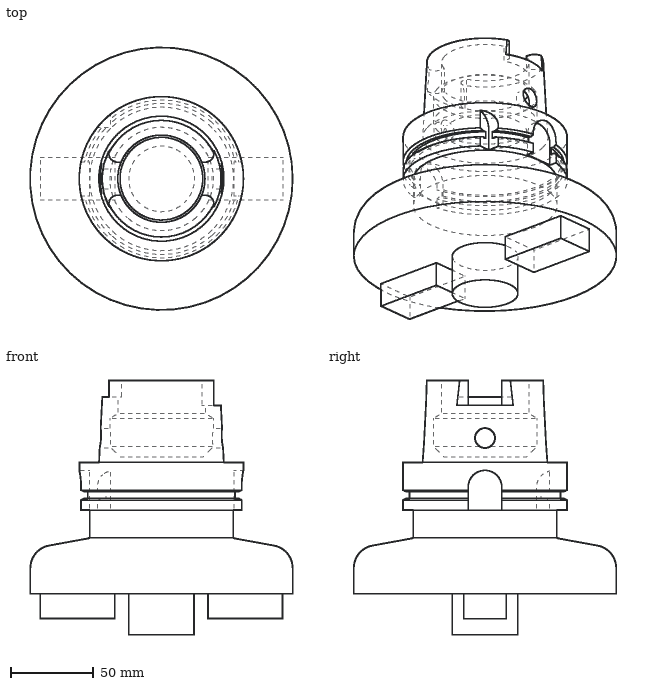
import cadquery as cq
import math

shank_height = 50.0
shank_base_radius = 38.0
shank_top_radius = 35.5

bore_radius = 53.1 / 2
undercut_radius = 63.0 / 2
cavity_floor_radius = 50.4 / 2
bore_depth = 20.0
cavity_depth = 46.4
undercut_slope = math.radians(60)
floor_slope = math.radians(45)

flange_radius = 100.0 / 2
flange_height = 29.0
groove_radius = 46.0
groove_top = -17.8
groove_bottom = -22.0
groove_lip_height = 1.0
groove_lip_width = 2.0

collar_radius = 87.5 / 2
collar_bottom = -45.8
flare_radius = 44.6
flare_height = 0.4
disk_radius = 80.0
disk_bottom = -80.0
disk_slope = math.radians(10.3)
disk_fillet = 14.0
pilot_radius = 40.0 / 2
pilot_length = 25.0

block_inner_x = 28.3
block_outer_x = 73.8
block_width = 26.0
block_height = 15.0

slot_width = 20.2
slot_shoulder_x = 32.0
slot_corner_radius = 5.3
left_slot_depth = 10.0
right_slot_depth = 15.2

pocket_radius = 10.2
pocket_top = -4.8
pocket_floor_x = 44.0
notch_center_y = 41.5
notch_floor_x = 31.2

cross_hole_diameter = 12.0
cross_hole_z = 14.9


def revolve_profile(points):
    """Revolve a closed outline of (radius, z) points about the Z axis."""
    return cq.Workplane("XZ").polyline(points).close().revolve(360, (0, 0), (0, 1))


def make_disk():
    """Disk with a gently conical top, a flared foot ring and a rounded shoulder."""
    cone_top_z = collar_bottom - flare_height
    rim_z = cone_top_z - (disk_radius - flare_radius) * math.tan(disk_slope)
    turn = math.pi / 2 - disk_slope
    tangent_length = disk_fillet * math.tan(turn / 2)
    center_r = disk_radius - disk_fillet
    center_z = rim_z - tangent_length

    def shoulder_point(angle):
        return (center_r + disk_fillet * math.cos(angle), center_z + disk_fillet * math.sin(angle))

    return (
        cq.Workplane("XZ")
        .moveTo(0, disk_bottom)
        .lineTo(disk_radius, disk_bottom)
        .lineTo(*shoulder_point(0))
        .threePointArc(shoulder_point(turn / 2), shoulder_point(turn))
        .lineTo(flare_radius, cone_top_z)
        .lineTo(collar_radius, collar_bottom)
        .lineTo(0, collar_bottom)
        .close()
        .revolve(360, (0, 0), (0, 1))
    )


def make_upper_body():
    """Collar, grooved flange and solid taper shank."""
    lip_radius = flange_radius - groove_lip_width
    return revolve_profile([
        (0, collar_bottom),
        (collar_radius, collar_bottom),
        (collar_radius, -flange_height),
        (flange_radius, -flange_height),
        (flange_radius, groove_bottom - groove_lip_height),
        (lip_radius, groove_bottom),
        (groove_radius, groove_bottom),
        (groove_radius, groove_top),
        (lip_radius, groove_top),
        (flange_radius, groove_top + groove_lip_height),
        (flange_radius, 0),
        (shank_base_radius, 0),
        (shank_top_radius, shank_height),
        (0, shank_height),
    ])


def make_cavity():
    """Bore that widens into an undercut and narrows again to a flat floor."""
    lip_z = shank_height - bore_depth
    floor_z = shank_height - cavity_depth
    undercut_top = lip_z - (undercut_radius - bore_radius) / math.tan(undercut_slope)
    undercut_bottom = floor_z + (undercut_radius - cavity_floor_radius) / math.tan(floor_slope)
    return revolve_profile([
        (0, floor_z),
        (cavity_floor_radius, floor_z),
        (undercut_radius, undercut_bottom),
        (undercut_radius, undercut_top),
        (bore_radius, lip_z),
        (bore_radius, shank_height),
        (0, shank_height),
    ])


def make_drive_slot(side, depth):
    """Rim slot on one X side (-1 or 1), opening outward over rounded corners."""
    half_width = slot_width / 2
    corner_x = slot_shoulder_x - slot_corner_radius
    corner_y = half_width + slot_corner_radius
    bulge = slot_corner_radius * math.sqrt(0.5)
    outer = flange_radius
    return (
        cq.Workplane("XY").workplane(offset=shank_height - depth)
        .moveTo(0, -half_width)
        .lineTo(side * corner_x, -half_width)
        .threePointArc((side * (corner_x + bulge), -corner_y + bulge), (side * slot_shoulder_x, -corner_y))
        .lineTo(side * slot_shoulder_x, -outer)
        .lineTo(side * outer, -outer)
        .lineTo(side * outer, outer)
        .lineTo(side * slot_shoulder_x, outer)
        .lineTo(side * slot_shoulder_x, corner_y)
        .threePointArc((side * (corner_x + bulge), corner_y - bulge), (side * corner_x, half_width))
        .lineTo(0, half_width)
        .close()
        .extrude(depth)
    )


def make_flange_pocket(side, center_y, floor_x):
    """Arch-topped pocket cut inward along X, open at the flange underside."""
    arch_z = pocket_top - pocket_radius
    return (
        cq.Workplane("YZ").workplane(offset=side * floor_x)
        .moveTo(center_y - pocket_radius, -flange_height)
        .lineTo(center_y - pocket_radius, arch_z)
        .threePointArc((center_y, pocket_top), (center_y + pocket_radius, arch_z))
        .lineTo(center_y + pocket_radius, -flange_height)
        .close()
        .extrude(side * (flange_radius - floor_x))
    )


def make_drive_block(side):
    """Rectangular block hanging under the disk on one X side."""
    return (
        cq.Workplane("XY").workplane(offset=disk_bottom)
        .center(side * (block_inner_x + block_outer_x) / 2, 0)
        .rect(block_outer_x - block_inner_x, block_width)
        .extrude(-block_height)
    )


pilot = cq.Workplane("XY").workplane(offset=disk_bottom).circle(pilot_radius).extrude(-pilot_length)
cross_hole = (
    cq.Workplane("YZ").center(0, cross_hole_z)
    .circle(cross_hole_diameter / 2)
    .extrude(flange_radius, both=True)
)

result = make_disk().union(make_upper_body()).union(pilot)
for side in (-1, 1):
    result = result.union(make_drive_block(side))

result = result.cut(make_cavity()).cut(cross_hole)
result = result.cut(make_drive_slot(-1, left_slot_depth))
result = result.cut(make_drive_slot(1, right_slot_depth))

for side in (-1, 1):
    result = result.cut(make_flange_pocket(side, 0, pocket_floor_x))
result = result.cut(make_flange_pocket(-1, notch_center_y, notch_floor_x))